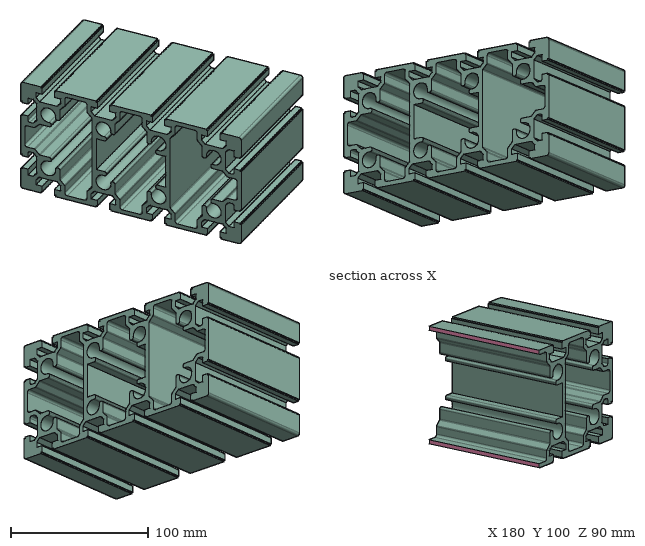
import cadquery as cq
import math

WIDTH = 180.0
HEIGHT = 90.0
LENGTH = 100.0
PITCH = 45.0
HALF_WIDTH = WIDTH / 2
HALF_HEIGHT = HEIGHT / 2
CORE_OFFSET = PITCH / 2

SLOT_OPENING = 10.0
SLOT_LIP = 6.0
LIP_STEP = 1.0
SLOT_DEPTH = 13.0
SLOT_HALF_WIDTH = 10.0
SLOT_CHAMFER = 2.9

SKIN = 3.4
CHANNEL_RADIUS = 6.0
RIB_HALF_WIDTH = 9.5
RIB_REACH = 2.4
POCKET_HALF_WIDTH = 13.5
POCKET_DEPTH = 11.4
WEB_THICKNESS = 3.8

OUTER_RADIUS = 2.0
CAVITY_RADIUS = 2.0
SLOPE_RADIUS = 1.0
RIB_TIP_RADIUS = 1.6
RIB_INNER_RADIUS = 1.5
SIDE_SLOT_RADIUS = 1.5

SLOPE_END = POCKET_DEPTH + POCKET_HALF_WIDTH - RIB_HALF_WIDTH
CORE_1 = CORE_OFFSET
CORE_2 = CORE_OFFSET + PITCH
RIB_FACE = CORE_OFFSET + RIB_HALF_WIDTH
RIB_TIP = CORE_OFFSET + RIB_REACH
POCKET_EDGE = CORE_OFFSET + POCKET_HALF_WIDTH
WEB_LEFT = CORE_2 - RIB_HALF_WIDTH
WEB_RIGHT = WEB_LEFT + WEB_THICKNESS


def extrude_outline(points):
    """Extrude a closed outline given as (u, v) distances from the left and top faces."""
    placed = [(u - HALF_WIDTH, HALF_HEIGHT - v) for u, v in points]
    return cq.Workplane("XZ", origin=(0, LENGTH / 2, 0)).polyline(placed).close().extrude(LENGTH)


def round_edges(body, radius, points):
    """Round the lengthwise edges of a body that pass through the given (u, v) points."""
    edges = cq.Workplane(body.val())
    picked = []
    for u, v in points:
        place = (u - HALF_WIDTH, 0, HALF_HEIGHT - v)
        picked.append(edges.edges("|Y").edges(cq.NearestToPointSelector(place)).val())
    return edges.newObject(picked).fillet(radius)


def slot_outline(centre):
    """T-slot outline as (position along the face, depth) pairs."""
    half_opening = SLOT_OPENING / 2
    half_floor = SLOT_HALF_WIDTH - SLOT_CHAMFER
    half = [
        (half_opening + LIP_STEP, 0),
        (half_opening + LIP_STEP, LIP_STEP),
        (half_opening, LIP_STEP),
        (half_opening, SLOT_LIP),
        (SLOT_HALF_WIDTH, SLOT_LIP),
        (SLOT_HALF_WIDTH, SLOT_DEPTH - SLOT_CHAMFER),
        (half_floor, SLOT_DEPTH),
    ]
    right = [(centre + across, depth) for across, depth in half]
    left = [(centre - across, depth) for across, depth in reversed(half)]
    return right + left


def top_slot(core):
    return extrude_outline(slot_outline(core))


def side_slot():
    slot = extrude_outline([(depth, across) for across, depth in slot_outline(CORE_1)])
    return round_edges(slot, SIDE_SLOT_RADIUS, [(SLOT_LIP, CORE_1 + SLOT_HALF_WIDTH)])


def channel(core):
    plane = cq.Workplane("XZ", origin=(core - HALF_WIDTH, LENGTH / 2, HALF_HEIGHT - CORE_OFFSET))
    return plane.circle(CHANNEL_RADIUS).extrude(LENGTH)


def outer_cavity():
    """Cavity between the left skin and the web, open to the first screw channel."""
    far_edge = CORE_2 - POCKET_HALF_WIDTH
    cavity = extrude_outline([
        (POCKET_EDGE, SKIN),
        (far_edge, SKIN),
        (far_edge, POCKET_DEPTH),
        (WEB_LEFT, SLOPE_END),
        (WEB_LEFT, HALF_HEIGHT),
        (SKIN, HALF_HEIGHT),
        (SKIN, POCKET_EDGE),
        (POCKET_DEPTH, POCKET_EDGE),
        (SLOPE_END, RIB_FACE),
        (RIB_TIP, RIB_FACE),
        (RIB_TIP, RIB_TIP),
        (RIB_FACE, RIB_TIP),
        (RIB_FACE, SLOPE_END),
        (POCKET_EDGE, POCKET_DEPTH),
    ])
    corners = [(POCKET_EDGE, SKIN), (far_edge, SKIN), (SKIN, POCKET_EDGE)]
    cavity = round_edges(cavity, CAVITY_RADIUS, corners)
    slope_ends = [
        (POCKET_EDGE, POCKET_DEPTH),
        (RIB_FACE, SLOPE_END),
        (far_edge, POCKET_DEPTH),
        (WEB_LEFT, SLOPE_END),
        (POCKET_DEPTH, POCKET_EDGE),
        (SLOPE_END, RIB_FACE),
    ]
    cavity = round_edges(cavity, SLOPE_RADIUS, slope_ends)
    return round_edges(cavity, RIB_TIP_RADIUS, [(RIB_TIP, RIB_FACE), (RIB_FACE, RIB_TIP)])


def middle_cavity():
    """Left half of the cavity between the two webs, open to the second screw channel."""
    rib_face = CORE_2 + RIB_HALF_WIDTH
    rib_tip = CORE_2 + RIB_REACH
    pocket_edge = CORE_2 + POCKET_HALF_WIDTH
    cavity = extrude_outline([
        (pocket_edge, SKIN),
        (HALF_WIDTH, SKIN),
        (HALF_WIDTH, HALF_HEIGHT),
        (WEB_RIGHT, HALF_HEIGHT),
        (WEB_RIGHT, RIB_FACE),
        (rib_tip, RIB_FACE),
        (rib_tip, RIB_TIP),
        (rib_face, RIB_TIP),
        (rib_face, SLOPE_END),
        (pocket_edge, POCKET_DEPTH),
    ])
    cavity = round_edges(cavity, CAVITY_RADIUS, [(pocket_edge, SKIN)])
    slope_ends = [(pocket_edge, POCKET_DEPTH), (rib_face, SLOPE_END)]
    cavity = round_edges(cavity, SLOPE_RADIUS, slope_ends)
    return round_edges(cavity, RIB_TIP_RADIUS, [(rib_tip, RIB_FACE), (rib_face, RIB_TIP)])


def quarter_profile():
    block = extrude_outline([(0, 0), (HALF_WIDTH, 0), (HALF_WIDTH, HALF_HEIGHT), (0, HALF_HEIGHT)])
    block = round_edges(block, OUTER_RADIUS, [(0, 0)])
    for core in (CORE_1, CORE_2):
        block = block.cut(top_slot(core)).cut(channel(core))
    block = block.cut(side_slot()).cut(outer_cavity()).cut(middle_cavity())

    half_chord = math.sqrt(CHANNEL_RADIUS**2 - RIB_REACH**2)
    inner_tip = CORE_OFFSET + half_chord
    for core in (CORE_1, CORE_2):
        tips = [(core + half_chord, RIB_TIP), (core + RIB_REACH, inner_tip)]
        block = round_edges(block, RIB_INNER_RADIUS, tips)
    return block


quarter = quarter_profile()
left_half = quarter.union(quarter.mirror("XY"))
result = left_half.union(left_half.mirror("YZ")).clean()